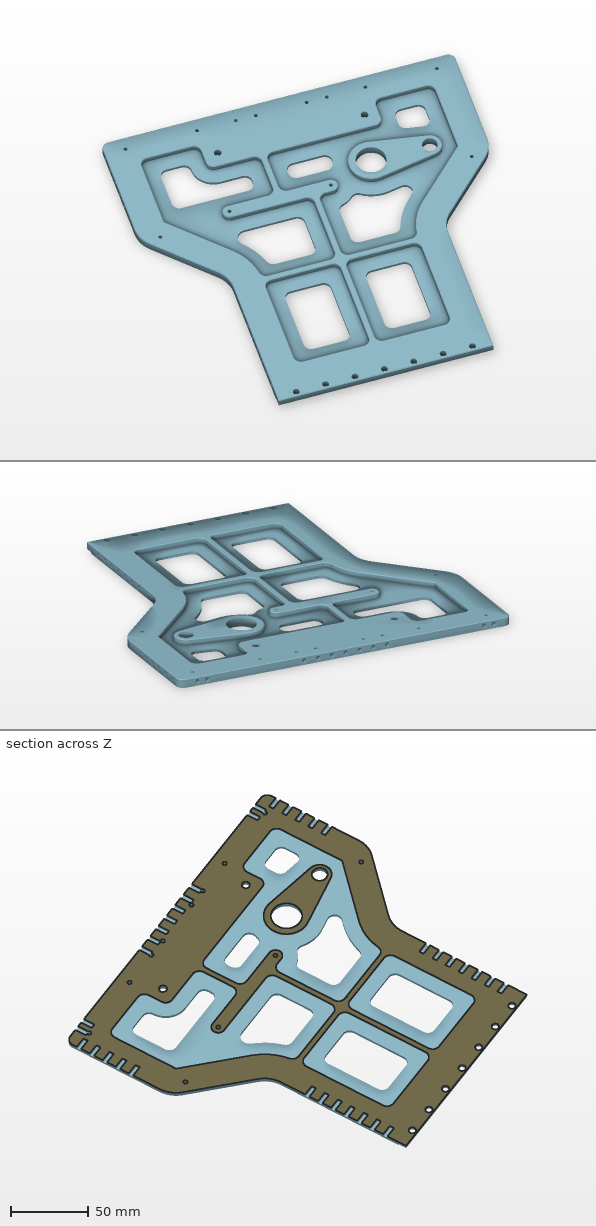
import cadquery as cq
import math

PLATE_LENGTH = 231.68
PLATE_HALF_WIDTH = 120.0
ARM_HALF_WIDTH = 73.0
SHOULDER_START_X = 72.0
SHOULDER_RADIUS = 20.0
PLATE_CORNER_RADIUS = 5.0
THICKNESS = 6.0
EDGE_CHAMFER = 0.5
TAPER_HALF_TURN = math.tan(math.radians(45.0 / 2))
SHOULDER_X = SHOULDER_START_X + SHOULDER_RADIUS * TAPER_HALF_TURN
ARM_START_X = SHOULDER_X + PLATE_HALF_WIDTH - ARM_HALF_WIDTH
ARM_STRAIGHT_X = ARM_START_X + SHOULDER_RADIUS * TAPER_HALF_TURN

STEP_LENGTH = 6.0
STEP_HEIGHT = 1.0

POCKET_DEPTH = 4.0
RIM_WIDTH = 20.0
WINDOW_MARGIN = 10.0
CORNER_RADIUS = 5.0
LOWER_TIP_RADIUS = 6.0
RIB_HALF_WIDTH = 2.0
CROSS_RIB_X = ARM_STRAIGHT_X
ARM_POCKET_END_X = 206.0
LEFT_PAD_X = 40.0
LEFT_PAD_HALF_WIDTH = 59.5
SIDE_RIB_Y = -22.5

STEM_X = 77.0
STEM_TOP_Y = 12.0
STEM_BOTTOM_Y = -57.0
STEM_RADIUS = 4.7

PIVOT_X = 65.7
PIVOT_Y = 43.0
PIVOT_BORE = 20.0
PIVOT_RADIUS = 15.0
TIP_Y = 83.0
TIP_BORE = 10.0
TIP_RADIUS = 8.0

SMALL_HOLE = 2.5
SMALL_HOLE_X = 9.0
SMALL_HOLE_YS = (17.3, 31.0, 57.3, 106.0)
SHOULDER_HOLE_X = 83.0
PAD_HOLE = 5.0
PAD_HOLE_X = 30.0
PAD_HOLE_Y = 50.0
ARM_HOLE = 4.5
ARM_HOLE_INSET = 3.5
ARM_HOLE_PITCH = 20.0
ARM_HOLES_EACH_SIDE = 3

EDGE_HOLE = 3.0
EDGE_HOLE_DEPTH = 8.0
EDGE_HOLE_PITCH = 10.0
BACK_EDGE_CENTRE_HOLES = 7
BACK_EDGE_CORNER_YS = (100.0, 107.0)
WIDE_EDGE_HOLES = 5
ARM_EDGE_HOLES = 7
ARM_EDGE_START_X = ARM_STRAIGHT_X + 2 * EDGE_HOLE_PITCH

FAR = 2 * PLATE_LENGTH


def prism(points):
    return cq.Workplane("XY").polyline(points).close().extrude(THICKNESS)


def block(x_min, x_max, y_min, y_max):
    return prism([(x_min, y_min), (x_max, y_min), (x_max, y_max), (x_min, y_max)])


def disc(x, y, radius):
    return cq.Workplane("XY").center(x, y).circle(radius).extrude(THICKNESS)


def round_corners(body, corners, radius):
    """Round the upright edge nearest to each (x, y) corner."""
    for x, y in corners:
        nearest = cq.selectors.NearestToPointSelector((x, y, THICKNESS / 2))
        body = body.edges("|Z").edges(nearest).fillet(radius)
    return body


def rounded_block(x_min, x_max, y_min, y_max):
    return block(x_min, x_max, y_min, y_max).edges("|Z").fillet(CORNER_RADIUS)


def plate_outline(inset):
    """The plate outline moved inwards by `inset`, with its shoulder arcs kept concentric."""
    shift = inset * TAPER_HALF_TURN
    wide = PLATE_HALF_WIDTH - inset
    narrow = ARM_HALF_WIDTH - inset
    upper = [
        (PLATE_LENGTH - inset, narrow),
        (ARM_START_X - shift, narrow),
        (SHOULDER_X - shift, wide),
        (inset, wide),
    ]
    lower = [(x, -y) for x, y in reversed(upper)]
    body = prism(upper + lower)
    inner = [(ARM_START_X - shift, side * narrow) for side in (-1, 1)]
    body = round_corners(body, inner, SHOULDER_RADIUS + inset)
    if inset < SHOULDER_RADIUS:
        outer = [(SHOULDER_X - shift, side * wide) for side in (-1, 1)]
        body = round_corners(body, outer, SHOULDER_RADIUS - inset)
    return body


def stem(margin):
    """The stem grown by `margin` on all sides."""
    radius = STEM_RADIUS + margin
    bar = block(STEM_X - radius, STEM_X + radius, STEM_BOTTOM_Y, STEM_TOP_Y)
    return bar.union(disc(STEM_X, STEM_TOP_Y, radius)).union(disc(STEM_X, STEM_BOTTOM_Y, radius))


def teardrop(margin):
    """The pivot island grown by `margin`: two discs joined by their common tangents."""
    big = PIVOT_RADIUS + margin
    small = TIP_RADIUS + margin
    sine = (big - small) / (TIP_Y - PIVOT_Y)
    cosine = math.sqrt(1 - sine**2)
    web = prism(
        [
            (PIVOT_X - big * cosine, PIVOT_Y + big * sine),
            (PIVOT_X + big * cosine, PIVOT_Y + big * sine),
            (PIVOT_X + small * cosine, TIP_Y + small * sine),
            (PIVOT_X - small * cosine, TIP_Y + small * sine),
        ]
    )
    return web.union(disc(PIVOT_X, PIVOT_Y, big)).union(disc(PIVOT_X, TIP_Y, small))


def main_pocket(side, side_rib_edge):
    """Large pocket on the +Y (side = 1) or -Y (side = -1) half, bounded by rim, pad, ribs and stem."""
    right = CROSS_RIB_X - RIB_HALF_WIDTH
    pad = side * LEFT_PAD_HALF_WIDTH
    rib = side * RIB_HALF_WIDTH
    zone = prism(
        [
            (0, side * FAR),
            (0, pad),
            (LEFT_PAD_X, pad),
            (LEFT_PAD_X, side_rib_edge),
            (STEM_X, side_rib_edge),
            (STEM_X, rib),
            (right, rib),
            (right, side * FAR),
        ]
    )
    rim = side * (PLATE_HALF_WIDTH - RIM_WIDTH)
    corners = [
        (RIM_WIDTH, rim),
        (RIM_WIDTH, pad),
        (LEFT_PAD_X, pad),
        (LEFT_PAD_X, side_rib_edge),
        (STEM_X - STEM_RADIUS, side_rib_edge),
        (STEM_X + STEM_RADIUS, rib),
        (right, rib),
        (right, side * (ARM_HALF_WIDTH - RIM_WIDTH)),
    ]
    pocket = zone.intersect(plate_outline(RIM_WIDTH)).cut(stem(0))
    return round_corners(pocket, corners, CORNER_RADIUS)


def pockets():
    upper = main_pocket(1, SIDE_RIB_Y + RIB_HALF_WIDTH).cut(teardrop(0))
    lower = main_pocket(-1, SIDE_RIB_Y - RIB_HALF_WIDTH)
    cutters = [upper, lower]
    for side in (-1, 1):
        near = side * RIB_HALF_WIDTH
        far = side * (ARM_HALF_WIDTH - RIM_WIDTH)
        left = CROSS_RIB_X + RIB_HALF_WIDTH
        cutters.append(rounded_block(left, ARM_POCKET_END_X, near, far))
    return cutters


def corner_window():
    """Window beside the teardrop, near the (-X, +Y) corner."""
    left = RIM_WIDTH + WINDOW_MARGIN
    top = PLATE_HALF_WIDTH - RIM_WIDTH - WINDOW_MARGIN
    bottom = LEFT_PAD_HALF_WIDTH + WINDOW_MARGIN
    window = block(left, PIVOT_X, bottom, top).cut(teardrop(WINDOW_MARGIN))
    return window.edges("|Z").fillet(CORNER_RADIUS)


def slot_window():
    """Narrow window between the left pad and the stem, under the pivot."""
    left = LEFT_PAD_X + WINDOW_MARGIN
    right = STEM_X - STEM_RADIUS - WINDOW_MARGIN
    bottom = SIDE_RIB_Y + RIB_HALF_WIDTH + WINDOW_MARGIN
    window = block(left, right, bottom, PIVOT_Y).cut(teardrop(WINDOW_MARGIN))
    return window.edges("|Z").fillet(CORNER_RADIUS)


def shoulder_window(side):
    """Window under the shoulder on either half, following the rim, the stem and the island."""
    inset = RIM_WIDTH + WINDOW_MARGIN
    right = CROSS_RIB_X - RIB_HALF_WIDTH - WINDOW_MARGIN
    near = side * (RIB_HALF_WIDTH + WINDOW_MARGIN)
    beside_stem = STEM_X + STEM_RADIUS + WINDOW_MARGIN
    corners = [(right, near), (right, side * (ARM_HALF_WIDTH - inset)), (beside_stem, near)]
    if side > 0:
        left = STEM_X
        corners += [(left, (STEM_TOP_Y + PIVOT_Y) / 2), (left, TIP_Y)]
    else:
        left = beside_stem
    zone = block(left, right, near, side * FAR)
    window = zone.intersect(plate_outline(inset))
    window = window.cut(stem(WINDOW_MARGIN)).cut(teardrop(WINDOW_MARGIN))
    window = round_corners(window, corners, CORNER_RADIUS)
    if side < 0:
        window = round_corners(window, [(left, -ARM_HALF_WIDTH)], LOWER_TIP_RADIUS)
    return window


def elbow_window():
    """L-shaped window near the (-X, -Y) corner, wrapping round the left pad."""
    outer_left = RIM_WIDTH + WINDOW_MARGIN
    inner_left = LEFT_PAD_X + WINDOW_MARGIN
    right = STEM_X - STEM_RADIUS - WINDOW_MARGIN
    top = SIDE_RIB_Y - RIB_HALF_WIDTH - WINDOW_MARGIN
    elbow = -LEFT_PAD_HALF_WIDTH - WINDOW_MARGIN
    bottom = -PLATE_HALF_WIDTH + RIM_WIDTH + WINDOW_MARGIN
    turn_radius = CORNER_RADIUS + WINDOW_MARGIN
    turn_x = inner_left - turn_radius
    turn_y = elbow + turn_radius
    inside_turn = block(turn_x, right - CORNER_RADIUS, elbow - CORNER_RADIUS, turn_y)
    inside_turn = inside_turn.cut(disc(turn_x, turn_y, turn_radius))
    foot = rounded_block(outer_left, right, bottom, elbow)
    leg = rounded_block(inner_left, right, bottom, top)
    return foot.union(leg).union(inside_turn)


def arm_window(side):
    left = CROSS_RIB_X + RIB_HALF_WIDTH + WINDOW_MARGIN
    right = ARM_POCKET_END_X - WINDOW_MARGIN
    near = side * (RIB_HALF_WIDTH + WINDOW_MARGIN)
    far = side * (ARM_HALF_WIDTH - RIM_WIDTH - WINDOW_MARGIN)
    return rounded_block(left, right, near, far)


def plate_body():
    corners = [(0, -PLATE_HALF_WIDTH), (0, PLATE_HALF_WIDTH)]
    body = round_corners(plate_outline(0), corners, PLATE_CORNER_RADIUS)
    step = block(PLATE_LENGTH - STEP_LENGTH, FAR, -FAR, FAR)
    body = body.cut(step.translate((0, 0, STEP_HEIGHT - THICKNESS)))
    for pocket in pockets():
        body = body.cut(pocket.translate((0, 0, THICKNESS - POCKET_DEPTH)))
    return body.faces(">Z").edges().chamfer(EDGE_CHAMFER)


def vertical_holes():
    drills = [
        disc(PIVOT_X, PIVOT_Y, PIVOT_BORE / 2),
        disc(PIVOT_X, TIP_Y, TIP_BORE / 2),
        disc(STEM_X, STEM_TOP_Y, SMALL_HOLE / 2),
        disc(STEM_X, STEM_BOTTOM_Y, SMALL_HOLE / 2),
    ]
    for side in (-1, 1):
        drills.append(disc(PAD_HOLE_X, side * PAD_HOLE_Y, PAD_HOLE / 2))
        drills.append(disc(SHOULDER_HOLE_X, side * SMALL_HOLE_YS[-1], SMALL_HOLE / 2))
        for y in SMALL_HOLE_YS:
            drills.append(disc(SMALL_HOLE_X, side * y, SMALL_HOLE / 2))
    for i in range(-ARM_HOLES_EACH_SIDE, ARM_HOLES_EACH_SIDE + 1):
        drills.append(disc(PLATE_LENGTH - ARM_HOLE_INSET, i * ARM_HOLE_PITCH, ARM_HOLE / 2))
    return drills


def edge_drill(x, y, direction):
    start = cq.Vector(x, y, THICKNESS / 2)
    drill = cq.Solid.makeCylinder(EDGE_HOLE / 2, EDGE_HOLE_DEPTH, start, cq.Vector(*direction))
    return cq.Workplane(drill)


def edge_holes():
    first_y = -(BACK_EDGE_CENTRE_HOLES - 1) * EDGE_HOLE_PITCH / 2
    back_ys = [first_y + i * EDGE_HOLE_PITCH for i in range(BACK_EDGE_CENTRE_HOLES)]
    for y in BACK_EDGE_CORNER_YS:
        back_ys += [-y, y]
    drills = [edge_drill(0, y, (1, 0, 0)) for y in back_ys]
    for side in (-1, 1):
        inward = (0, -side, 0)
        for i in range(WIDE_EDGE_HOLES):
            drills.append(edge_drill((i + 1) * EDGE_HOLE_PITCH, side * PLATE_HALF_WIDTH, inward))
        for i in range(ARM_EDGE_HOLES):
            drills.append(edge_drill(ARM_EDGE_START_X + i * EDGE_HOLE_PITCH, side * ARM_HALF_WIDTH, inward))
    return drills


def windows():
    cutters = [corner_window(), slot_window(), elbow_window()]
    for side in (-1, 1):
        cutters += [arm_window(side), shoulder_window(side)]
    return cutters


def cut_all(body, cutters):
    return cq.Workplane(body.val().cut(*[cutter.val() for cutter in cutters]))


result = cut_all(plate_body(), windows() + vertical_holes() + edge_holes())